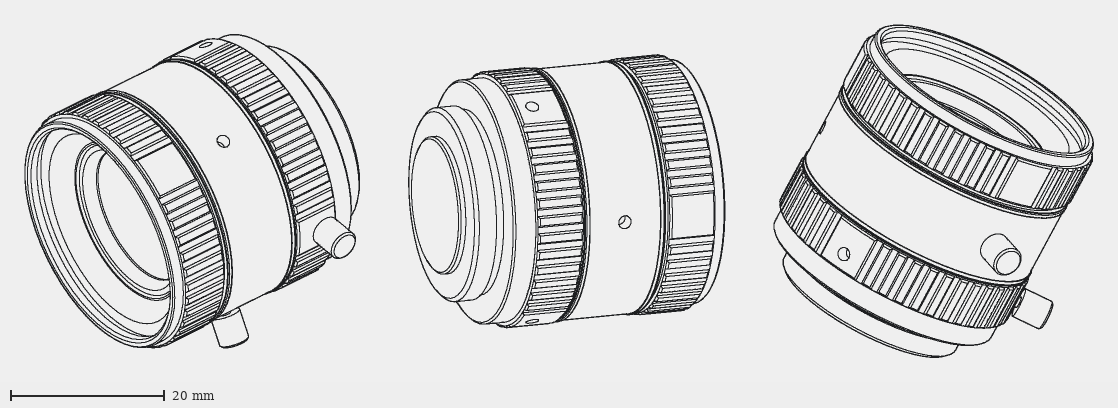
import cadquery as cq
import math


FRONT_RING_START = 1.6
RING_LENGTH = 6.3
BARREL_START = 8.5
BARREL_END = 19.75
REAR_RING_START = 19.95
FLANGE_START = 26.35
FLANGE_END = 29.4
MOUNT_START = 30.6
MOUNT_END = 33.48
LENS_LENGTH = 34.4

HOUSING_DIA = 32.0
FRONT_NECK_DIA = 31.73
RING_GAP_DIA = 31.4
BARREL_DIA = 32.95
BARREL_LIP_DIA = 33.2
MOUNT_NECK_DIA = 24.4
MOUNT_DIA = 25.4
TIP_DIA = 18.0

EDGE_CHAMFER = 0.25
FRONT_CHAMFER = 0.2
MOUNT_CHAMFER = 0.5
LIP_LENGTH = 0.72
LIP_CHAMFER = 0.25

THREAD_DIA = 29.82
THREAD_END = 1.35
RELIEF_DIA = 30.5
SEAT_DEPTH = 2.2
HOOD_OUTER_DIA = 26.95
HOOD_INNER_DIA = 22.5
HOOD_DEPTH = 4.7
RETAINER_OUTER_DIA = 21.38
RETAINER_INNER_DIA = 19.95
RETAINER_DEPTH = 5.02
GLASS_DIA = 18.5
GLASS_RIM_DEPTH = 6.75
GLASS_EDGE_DEPTH = 7.0
GLASS_APEX_DEPTH = 6.1

RING_DIA = 33.48
RIB_HEIGHT = 0.25
RIB_PITCH = 8
RIBS_PER_PAD = 3
PAD_COUNT = 3
PAD_PITCH = 360 / PAD_COUNT
GROOVE_FLOOR_WIDTH = 0.85
FRONT_PAD_ANGLE = 60
REAR_PAD_ANGLE = 0

HOLE_DIA = 1.7
HOLE_FLOOR_RADIUS = 14.25
BARREL_HOLE_Y = 14.15
BARREL_HOLE_ANGLES = (60, 180)
BARREL_SCREW_ANGLE = -60
RING_HOLE_Y = 24.0
RING_HOLE_ANGLES = (120, 240)
RING_SCREW_ANGLE = 0
STEM_DIA = 1.52
HEAD_DIA = 4.0
HEAD_START_RADIUS = 17.2
HEAD_END_RADIUS = 21.3
HEAD_CHAMFER = 0.25


def turned_disc(dia, start, end, front_chamfer=0, rear_chamfer=0):
    """Disc along Y with optional chamfers at its front and rear edges."""
    disc = cq.Workplane("XZ", origin=(0, start, 0)).circle(dia / 2).extrude(start - end)
    if front_chamfer:
        disc = disc.faces("<Y").chamfer(front_chamfer)
    if rear_chamfer:
        disc = disc.faces(">Y").chamfer(rear_chamfer)
    return disc


def make_body():
    """Solid stack of turned discs that carries the grip rings."""
    body = turned_disc(HOUSING_DIA, 0, FRONT_RING_START, FRONT_CHAMFER)
    body = body.union(turned_disc(FRONT_NECK_DIA, FRONT_RING_START, BARREL_START))
    body = body.union(turned_disc(BARREL_DIA, BARREL_START, BARREL_END))
    front_lip_end = BARREL_START + LIP_LENGTH
    rear_lip_start = BARREL_END - LIP_LENGTH
    body = body.union(turned_disc(BARREL_LIP_DIA, BARREL_START, front_lip_end, LIP_CHAMFER, 0))
    body = body.union(turned_disc(BARREL_LIP_DIA, rear_lip_start, BARREL_END, 0, LIP_CHAMFER))
    body = body.union(turned_disc(RING_GAP_DIA, BARREL_END, FLANGE_START))
    body = body.union(turned_disc(HOUSING_DIA, FLANGE_START, FLANGE_END, 0, EDGE_CHAMFER))
    body = body.union(turned_disc(MOUNT_NECK_DIA, FLANGE_END, MOUNT_START))
    body = body.union(turned_disc(MOUNT_DIA, MOUNT_START, MOUNT_END, 0, MOUNT_CHAMFER))
    return body.union(turned_disc(TIP_DIA, MOUNT_END, LENS_LENGTH, 0, EDGE_CHAMFER))


def grip_ring(start, pad_angle):
    """Ring with ribs along Y and wide pads, separated by grooves with 45 degree walls."""
    ring = turned_disc(RING_DIA, start, start + RING_LENGTH, RIB_HEIGHT, RIB_HEIGHT)
    top = RING_DIA / 2 + RIB_HEIGHT
    floor = RING_DIA / 2 - RIB_HEIGHT
    floor_half = GROOVE_FLOOR_WIDTH / 2
    top_half = floor_half + top - floor
    grooves = cq.Workplane("XZ", origin=(0, start, 0))
    first_groove = RIBS_PER_PAD * RIB_PITCH / 2
    groove_count = int(PAD_PITCH / RIB_PITCH) - RIBS_PER_PAD + 1
    section = [(floor, -floor_half), (top, -top_half), (top, top_half), (floor, floor_half)]
    for pad in range(PAD_COUNT):
        for groove in range(groove_count):
            angle = math.radians(pad_angle + pad * PAD_PITCH + first_groove + groove * RIB_PITCH)
            corners = [
                (r * math.cos(angle) - t * math.sin(angle), r * math.sin(angle) + t * math.cos(angle))
                for r, t in section
            ]
            grooves = grooves.polyline(corners).close()
    return ring.cut(grooves.extrude(-RING_LENGTH))


def front_opening():
    """Filter thread bore with a relief groove, then a conical hood down to the domed front glass."""
    entry_chamfer = (RELIEF_DIA - THREAD_DIA) / 2
    retainer_lip = RETAINER_DEPTH - HOOD_DEPTH
    sagitta = GLASS_EDGE_DEPTH - GLASS_APEX_DEPTH
    dome_radius = ((GLASS_DIA / 2) ** 2 + sagitta**2) / (2 * sagitta)
    half_angle = math.asin(GLASS_DIA / 2 / dome_radius) / 2
    dome_mid = (
        dome_radius * math.sin(half_angle),
        GLASS_APEX_DEPTH + dome_radius * (1 - math.cos(half_angle)),
    )
    profile = (
        cq.Workplane("XY")
        .moveTo(0, 0)
        .lineTo(RELIEF_DIA / 2, 0)
        .lineTo(THREAD_DIA / 2, entry_chamfer)
        .lineTo(THREAD_DIA / 2, THREAD_END)
        .lineTo(RELIEF_DIA / 2, THREAD_END)
        .lineTo(RELIEF_DIA / 2, SEAT_DEPTH)
        .lineTo(HOOD_OUTER_DIA / 2, SEAT_DEPTH)
        .lineTo(HOOD_INNER_DIA / 2, HOOD_DEPTH)
        .lineTo(RETAINER_OUTER_DIA / 2 + retainer_lip, HOOD_DEPTH)
        .lineTo(RETAINER_OUTER_DIA / 2, RETAINER_DEPTH)
        .lineTo(RETAINER_INNER_DIA / 2, RETAINER_DEPTH)
        .lineTo(GLASS_DIA / 2, GLASS_RIM_DEPTH)
        .lineTo(GLASS_DIA / 2, GLASS_EDGE_DEPTH)
        .threePointArc(dome_mid, (0, GLASS_APEX_DEPTH))
    )
    return profile.close().revolve(360, (0, 0), (0, 1))


def outward_direction(angle):
    """Unit vector pointing straight out from the lens axis."""
    return cq.Vector(math.cos(math.radians(angle)), 0, math.sin(math.radians(angle)))


def radial_cylinder(dia, y, angle, start_radius, end_radius):
    outward = outward_direction(angle)
    base = outward * start_radius + cq.Vector(0, y, 0)
    return cq.Workplane(cq.Solid.makeCylinder(dia / 2, end_radius - start_radius, base, outward))


def screw_hole(y, angle):
    return radial_cylinder(HOLE_DIA, y, angle, HOLE_FLOOR_RADIUS, RING_DIA / 2 + RIB_HEIGHT)


def thumb_screw(y, angle):
    """Knob on a thin stem that is anchored inside the body."""
    stem = radial_cylinder(STEM_DIA, y, angle, HOLE_FLOOR_RADIUS, HEAD_START_RADIUS + HEAD_CHAMFER)
    head = radial_cylinder(HEAD_DIA, y, angle, HEAD_START_RADIUS, HEAD_END_RADIUS)
    outer_face = cq.DirectionMinMaxSelector(outward_direction(angle))
    return stem.union(head.faces(outer_face).chamfer(HEAD_CHAMFER))


result = make_body()
result = result.union(grip_ring(FRONT_RING_START, FRONT_PAD_ANGLE))
result = result.union(grip_ring(REAR_RING_START, REAR_PAD_ANGLE))
result = result.cut(front_opening())
for hole_angle in BARREL_HOLE_ANGLES:
    result = result.cut(screw_hole(BARREL_HOLE_Y, hole_angle))
for hole_angle in RING_HOLE_ANGLES:
    result = result.cut(screw_hole(RING_HOLE_Y, hole_angle))
result = result.union(thumb_screw(BARREL_HOLE_Y, BARREL_SCREW_ANGLE))
result = result.union(thumb_screw(RING_HOLE_Y, RING_SCREW_ANGLE))